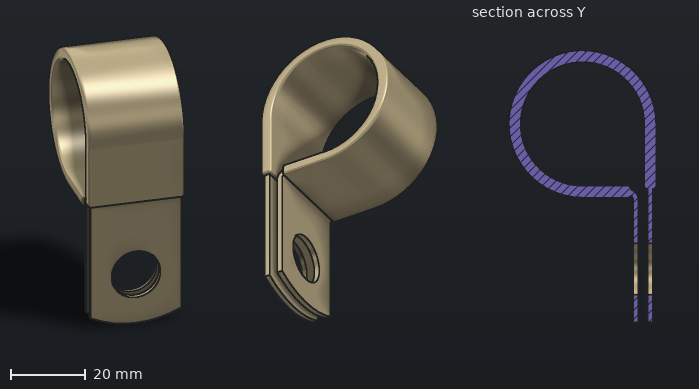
import cadquery as cq
import math

total_height = 72.95
cushion_width = 27.0
outer_radius = 19.8
strip_thickness = 1.5
cushion_cover = 0.9
lower_run_length = 13.05
side_run_length = 17.4
leg_gap = 2.3
bend_radius = 1.4
hole_diameter = 13.6
hole_height = 14.4
tip_rise = 2.9

strip_width = cushion_width - 2 * cushion_cover
inner_radius = outer_radius - strip_thickness - 2 * cushion_cover
strip_outer = outer_radius - cushion_cover
strip_inner = inner_radius + cushion_cover
bottom_z = outer_radius - total_height
bent_leg_outer = strip_inner - leg_gap
bent_leg_inner = bent_leg_outer - strip_thickness
bend_x = bent_leg_inner - bend_radius
bend_z = -strip_outer - bend_radius
outer_bend_radius = bend_radius + strip_thickness


def diagonal(radius):
    return radius * math.sqrt(0.5)


def extrude_centered(profile, width):
    return profile.extrude(width / 2, both=True)


def make_cushion():
    """Three-quarter ring with two straight runs and rounded outside edges."""
    profile = (
        cq.Workplane("XZ")
        .moveTo(outer_radius, -side_run_length)
        .lineTo(outer_radius, 0)
        .threePointArc((-diagonal(outer_radius), diagonal(outer_radius)), (0, -outer_radius))
        .lineTo(lower_run_length, -outer_radius)
        .lineTo(lower_run_length, -inner_radius)
        .lineTo(0, -inner_radius)
        .threePointArc((-diagonal(inner_radius), diagonal(inner_radius)), (inner_radius, 0))
        .lineTo(inner_radius, -side_run_length)
        .close()
    )
    body = extrude_centered(profile, cushion_width)
    side_rims = body.faces("<Y or >Y").edges()
    end_center_x = (outer_radius + inner_radius) / 2
    side_end = body.faces(cq.NearestToPointSelector((end_center_x, 0, -side_run_length))).edges("|Y")
    lower_end = body.faces(cq.NearestToPointSelector((lower_run_length, 0, -end_center_x))).edges("|Y")
    return side_rims.add(side_end).add(lower_end).fillet(cushion_cover)


def make_straight_leg():
    profile = cq.Workplane("XZ").moveTo(strip_inner, bottom_z)
    profile = profile.lineTo(strip_outer, bottom_z).lineTo(strip_outer, 0).lineTo(strip_inner, 0).close()
    return extrude_centered(profile, strip_width)


def make_bent_leg():
    """Strip leaving the lower cushion run and turning down beside the straight leg."""
    profile = (
        cq.Workplane("XZ")
        .moveTo(0, -strip_inner)
        .lineTo(bend_x, -strip_inner)
        .threePointArc(
            (bend_x + diagonal(outer_bend_radius), bend_z + diagonal(outer_bend_radius)),
            (bent_leg_outer, bend_z),
        )
        .lineTo(bent_leg_outer, bottom_z)
        .lineTo(bent_leg_inner, bottom_z)
        .lineTo(bent_leg_inner, bend_z)
        .threePointArc(
            (bend_x + diagonal(bend_radius), bend_z + diagonal(bend_radius)),
            (bend_x, -strip_outer),
        )
        .lineTo(0, -strip_outer)
        .close()
    )
    return extrude_centered(profile, strip_width)


def make_leg_outline():
    """Strip-wide envelope with rounded tips and the bolt hole, along X."""
    half_width = strip_width / 2
    outline = (
        cq.Workplane("YZ")
        .moveTo(-half_width, 0)
        .lineTo(-half_width, bottom_z + tip_rise)
        .threePointArc((0, bottom_z), (half_width, bottom_z + tip_rise))
        .lineTo(half_width, 0)
        .close()
        .extrude(outer_radius)
    )
    hole = (
        cq.Workplane("YZ")
        .center(0, bottom_z + hole_height)
        .circle(hole_diameter / 2)
        .extrude(outer_radius)
    )
    return outline.cut(hole)


legs = make_straight_leg().union(make_bent_leg()).intersect(make_leg_outline())
result = make_cushion().union(legs)